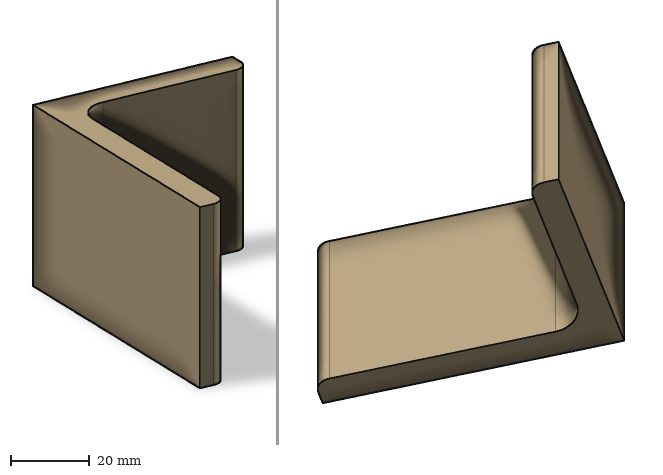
import cadquery as cq

long_leg = 80.0
short_leg = 60.0
length = 50.0
thickness = 8.0
root_radius = thickness
toe_radius = thickness / 2

angle = (
    cq.Workplane("XY")
    .polyline([
        (0, 0),
        (long_leg, 0),
        (long_leg, thickness),
        (thickness, thickness),
        (thickness, short_leg),
        (0, short_leg),
    ])
    .close()
    .extrude(length)
)


def round_edge(body, x, y, radius):
    """Round the vertical edge that passes through (x, y)."""
    edge = cq.selectors.NearestToPointSelector((x, y, length / 2))
    return body.edges("|Z").edges(edge).fillet(radius)


angle = round_edge(angle, thickness, thickness, root_radius)
angle = round_edge(angle, long_leg, thickness, toe_radius)
angle = round_edge(angle, thickness, short_leg, toe_radius)

result = angle